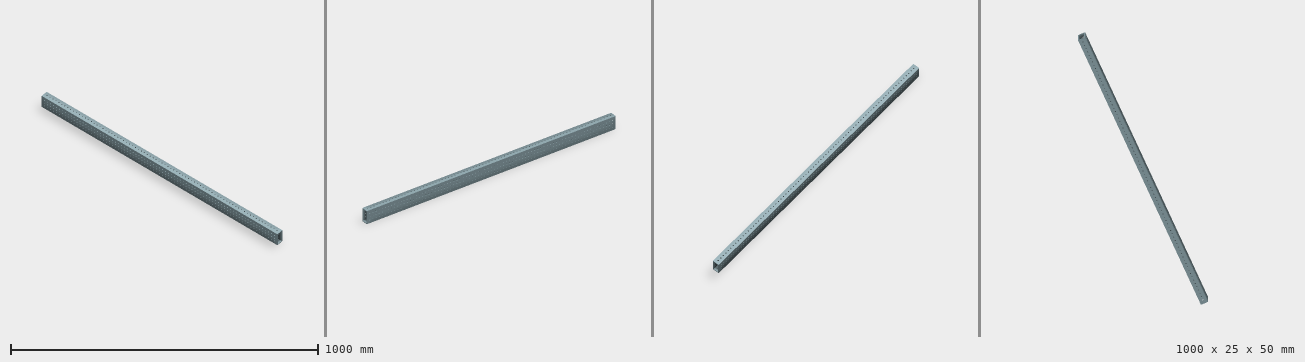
import cadquery as cq

length = 1000.0
width = 25.0
height = 50.0
wall = 3.0

hole_diameter = 4.0
hole_pitch = height / 4


def grid_positions(span):
    """Hole places along a span: every pitch, leaving one pitch free at both ends."""
    count = round(span / hole_pitch) - 1
    return [hole_pitch * (i + 1) for i in range(count)]


def rectangular_tube():
    outer = cq.Workplane("XY").box(length, width, height, centered=False)
    bore = (
        cq.Workplane("XY")
        .box(length, width - 2 * wall, height - 2 * wall, centered=False)
        .translate((0, wall, wall))
    )
    return outer.cut(bore)


def drills_along_y():
    """Three rows of drills through both tall side walls."""
    centers = [(x, z) for x in grid_positions(length) for z in grid_positions(height)]
    return cq.Workplane("XZ").pushPoints(centers).circle(hole_diameter / 2).extrude(-width)


def drills_along_z():
    """One row of drills through the bottom and top walls."""
    centers = [(x, y) for x in grid_positions(length) for y in grid_positions(width)]
    return cq.Workplane("XY").pushPoints(centers).circle(hole_diameter / 2).extrude(height)


result = rectangular_tube().cut(drills_along_y()).cut(drills_along_z())